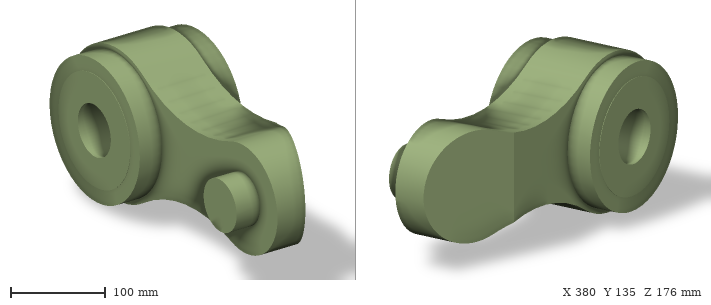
import cadquery as cq
import math

EYE_SPACING = 230.0
LARGE_EYE_RADIUS = 88.0
SMALL_EYE_RADIUS = 62.0
WAIST_RADIUS = 175.0
ARM_THICKNESS = 76.0

TIP_THICKNESS = 36.0
SLOPE_ANGLE = 20.0

COLLAR_RADIUS = 82.0
COLLAR_HEIGHT = 28.5
BUSHING_RADIUS = 65.0
BUSHING_PROTRUSION = 0.5
BORE_RADIUS = 30.0

PIN_RADIUS = 30.0
PIN_LENGTH = 30.0

FRONT_FACE_Y = -ARM_THICKNESS / 2
BACK_FACE_Y = ARM_THICKNESS / 2
HUB_LENGTH = ARM_THICKNESS + 2 * COLLAR_HEIGHT
BUSHING_LENGTH = HUB_LENGTH + 2 * BUSHING_PROTRUSION
TIP_X = EYE_SPACING + SMALL_EYE_RADIUS


def cylinder_along_y(radius, y_start, length, x=0.0):
    """Cylinder whose axis points along +Y from y_start."""
    solid = cq.Solid.makeCylinder(radius, length, cq.Vector(x, y_start, 0), cq.Vector(0, 1, 0))
    return cq.Workplane(obj=solid)


def arm_plate():
    """Plate with two round eyes joined by waist arcs tangent to both."""
    to_large = LARGE_EYE_RADIUS + WAIST_RADIUS
    to_small = SMALL_EYE_RADIUS + WAIST_RADIUS
    waist_x = (to_large**2 - to_small**2 + EYE_SPACING**2) / (2 * EYE_SPACING)
    waist_z = math.sqrt(to_large**2 - waist_x**2)

    large_x = waist_x * LARGE_EYE_RADIUS / to_large
    large_z = waist_z * LARGE_EYE_RADIUS / to_large
    small_x = EYE_SPACING + (waist_x - EYE_SPACING) * SMALL_EYE_RADIUS / to_small
    small_z = waist_z * SMALL_EYE_RADIUS / to_small
    waist_half_height = waist_z - WAIST_RADIUS

    return (
        cq.Workplane("XZ", origin=(0, BACK_FACE_Y, 0))
        .moveTo(large_x, large_z)
        .threePointArc((-LARGE_EYE_RADIUS, 0), (large_x, -large_z))
        .threePointArc((waist_x, -waist_half_height), (small_x, -small_z))
        .threePointArc((TIP_X, 0), (small_x, small_z))
        .threePointArc((waist_x, waist_half_height), (large_x, large_z))
        .close()
        .extrude(ARM_THICKNESS)
    )


def slope_cutter():
    """Wedge removed from the +Y side of the arm, deepest at the tip."""
    depth = ARM_THICKNESS - TIP_THICKNESS
    slope_start_x = TIP_X - depth / math.tan(math.radians(SLOPE_ANGLE))
    return (
        cq.Workplane("XY")
        .moveTo(slope_start_x, BACK_FACE_Y)
        .lineTo(TIP_X, BACK_FACE_Y)
        .lineTo(TIP_X, BACK_FACE_Y - depth)
        .close()
        .extrude(LARGE_EYE_RADIUS, both=True)
    )


def lever_arm():
    """Sloped arm with its collars and crank pin, open for the bushing."""
    hub = cylinder_along_y(COLLAR_RADIUS, -HUB_LENGTH / 2, HUB_LENGTH)
    pin = cylinder_along_y(PIN_RADIUS, FRONT_FACE_Y - PIN_LENGTH, PIN_LENGTH, EYE_SPACING)
    seat = cylinder_along_y(BUSHING_RADIUS, -HUB_LENGTH / 2, HUB_LENGTH)
    return arm_plate().cut(slope_cutter()).union(hub).union(pin).cut(seat)


def bushing():
    """Bored sleeve that stands slightly proud of both collars."""
    sleeve = cylinder_along_y(BUSHING_RADIUS, -BUSHING_LENGTH / 2, BUSHING_LENGTH)
    bore = cylinder_along_y(BORE_RADIUS, -BUSHING_LENGTH / 2, BUSHING_LENGTH)
    return sleeve.cut(bore)


result = cq.Compound.makeCompound([lever_arm().val(), bushing().val()])